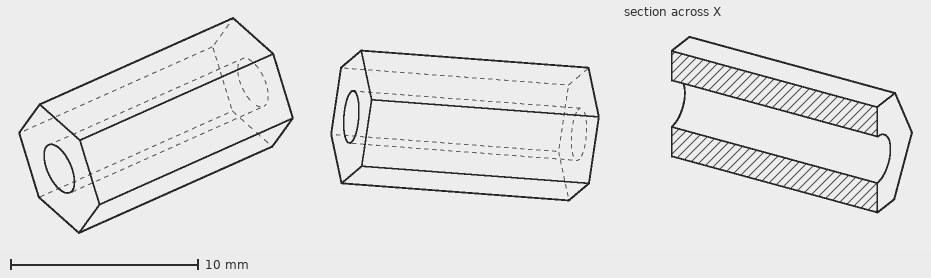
import cadquery as cq
import math

length = 12.7
across_flats = 6.4
bore_diameter = 2.8
hex_tilt = 0.8

across_corners = across_flats / math.cos(math.radians(30))

standoff = (
    cq.Workplane("XZ")
    .polygon(6, across_corners)
    .circle(bore_diameter / 2)
    .extrude(length / 2, both=True)
)

result = standoff.rotate((0, 0, 0), (0, 1, 0), hex_tilt)